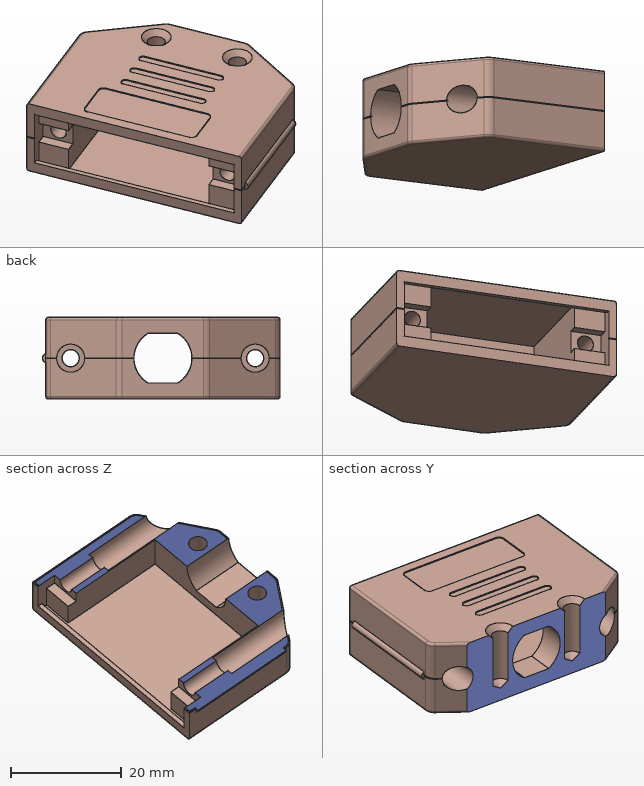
import cadquery as cq
import math

overall_width = 42.85
body_width = 42.25
body_length = 33.3
body_height = 14.8
shoulder_y = 24.55
back_edge_width = 15.85
corner_radius = 1.93
edge_radius = 0.5

side_wall = 1.5
opening_height = 10.62
lip_depth = 0.9
floor_thickness = 0.8
cavity_back_y = 23.15
cavity_width = body_width - 2 * side_wall
interior_height = body_height - 2 * floor_thickness

block_width = 5.83
block_front_y = 2.05
block_recess_height = 4.1
block_recess_depth = 1.93
screw_hole_x = 16.62
screw_hole_diameter = 3.05
screw_access_diameter = 5.05
screw_access_front_y = 12.0

cable_diameter = 10.4
cable_height = 8.9

top_hole_x = 7.95
top_hole_y = 28.27
top_hole_diameter = 3.25
countersink_diameter = 5.35
countersink_angle = 90
top_hole_depth = 11.15
drill_tip_angle = 118

relief_depth = 0.2
groove_length = 16.5
groove_width = 1.5
groove_pitch = 4.0
groove_count = 3
first_groove_y = 13.25
label_width = 21.95
label_length = 8.1
label_y = 6.0
label_corner_radius = 1.0

seam_gap = 0.13
seam_depth = 0.25
rib_radius = 0.8
rib_start_y = 1.55
rib_length = 21.5
rib_reach = overall_width - body_width

half_width = body_width / 2
half_height = body_height / 2
cut_length = 2 * body_length


def box(width, length, height, x, front_y, z=0):
    """Box centred on x and z, running back from front_y."""
    return cq.Workplane("XY").box(width, length, height).translate((x, front_y + length / 2, z))


def y_cylinder(diameter, x, front_y, length):
    """Cylinder along Y at mid height, running back from front_y."""
    return cq.Workplane("XZ", origin=(x, front_y, 0)).circle(diameter / 2).extrude(-length)


def make_outline():
    """Full-height prism: square front corners, tapered and rounded back."""
    half_back = back_edge_width / 2
    points = [
        (-half_width, 0),
        (half_width, 0),
        (half_width, shoulder_y),
        (half_back, body_length),
        (-half_back, body_length),
        (-half_width, shoulder_y),
    ]
    prism = cq.Workplane("XY", origin=(0, 0, -half_height)).polyline(points).close().extrude(body_height)
    return prism.edges("|Z and (not <Y)").fillet(corner_radius)


def make_shell(outline):
    """Outline with rounded top and bottom rims, hollowed behind the front lip."""
    shell = outline.faces("|Z").edges("not <Y").fillet(edge_radius)
    opening = box(cavity_width, cavity_back_y, opening_height, 0, 0)
    interior = box(cavity_width, cavity_back_y - lip_depth, interior_height, 0, lip_depth)
    return shell.cut(opening).cut(interior)


def make_seam(outline):
    """Thin groove at mid height, all the way round the outside."""
    wall_band = outline.faces("|Z").shell(-seam_depth)
    return wall_band.intersect(box(body_width, body_length, seam_gap, 0, 0))


def make_block(side):
    """Screw block against one side wall, with a recess across its front."""
    x = side * (cavity_width - block_width) / 2
    block = box(block_width, cavity_back_y - block_front_y, interior_height, x, block_front_y)
    return block.cut(box(block_width, block_recess_depth, block_recess_height, x, block_front_y))


def make_cable_opening():
    """Round passage through the back, flattened above and below."""
    cylinder = y_cylinder(cable_diameter, 0, cavity_back_y, cut_length)
    return cylinder.intersect(box(cable_diameter, cut_length, cable_height, 0, cavity_back_y))


def make_top_hole(side):
    """Countersink, straight bore and conical drill tip, revolved about Z."""
    bore_radius = top_hole_diameter / 2
    sink_radius = countersink_diameter / 2
    sink_depth = (sink_radius - bore_radius) / math.tan(math.radians(countersink_angle / 2))
    tip_length = bore_radius / math.tan(math.radians(drill_tip_angle / 2))
    profile = [
        (0, 0),
        (sink_radius, 0),
        (bore_radius, -sink_depth),
        (bore_radius, -top_hole_depth),
        (0, -top_hole_depth - tip_length),
    ]
    plane = cq.Workplane("XZ", origin=(side * top_hole_x, top_hole_y, half_height))
    return plane.polyline(profile).close().revolve(360, (0, 0), (0, 1))


def make_label_pocket():
    """Rounded rectangular recess near the front of the top."""
    front_y = label_y - label_length / 2
    pocket = box(label_width, label_length, 2 * relief_depth, 0, front_y, half_height)
    return pocket.edges("|Z").fillet(label_corner_radius)


def make_grooves():
    """Row of round-ended grip grooves across the top."""
    plane = cq.Workplane("XY", origin=(0, 0, half_height - relief_depth))
    centres = [(0, first_groove_y + index * groove_pitch) for index in range(groove_count)]
    return plane.pushPoints(centres).slot2D(groove_length, groove_width).extrude(relief_depth)


def make_rib():
    """Half-round rib along the seam, sunk partly into the +X wall."""
    x = half_width + rib_reach - rib_radius
    return y_cylinder(2 * rib_radius, x, rib_start_y, rib_length)


def make_screw_passage(side):
    """Screw hole through a block, widened from the tapered back for the screw head."""
    x = side * screw_hole_x
    passage = y_cylinder(screw_hole_diameter, x, 0, cut_length)
    return passage.union(y_cylinder(screw_access_diameter, x, screw_access_front_y, cut_length))


outline = make_outline()
result = make_shell(outline)
for side in (-1, 1):
    result = result.union(make_block(side))
    result = result.cut(make_screw_passage(side))
    result = result.cut(make_top_hole(side))
result = result.cut(make_cable_opening())
result = result.cut(make_label_pocket())
result = result.cut(make_grooves())
result = result.cut(make_seam(outline))
result = result.union(make_rib())